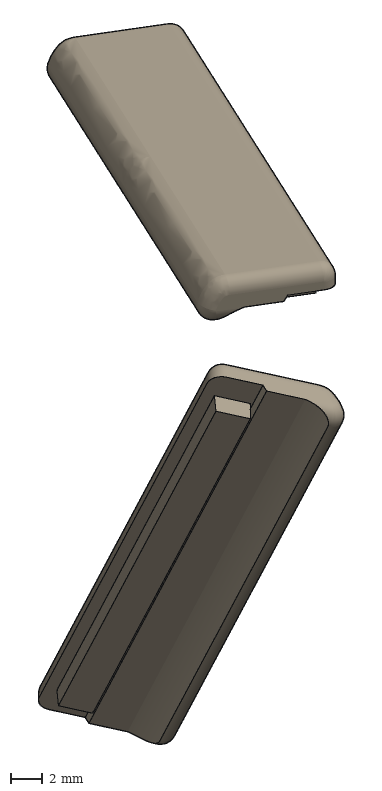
import cadquery as cq
import math

length = 35.0
depth = 9.17
height = 3.0

end_rounding = 0.98
corner_radius = 1.0

nose_join_angle = math.radians(16)
bend_start_y = 1.9
bend_middle = (0.55, 2.3)

rear_ledge_z = 1.45
main_underside_z = 1.0
step_top_y = 5.75
step_bottom_y = 5.5

hollow_start_y = 2.87
hollow_middle = (1.85, 0.6)
hollow_end_y = 1.05

rib_length = 31.0
rib_front_y = 5.9
rib_back_top_y = 8.33
rib_back_bottom_y = 8.22
rib_bottom_z = 0.18

clearance = 0.35


def point_on_circle(center, radius, angle):
    return (center[0] + radius * math.cos(angle), center[1] + radius * math.sin(angle))


def extrude_along_x(profile, size):
    """Extrude a closed YZ profile symmetrically about X = 0."""
    return profile.extrude(size / 2, both=True)


def make_shell():
    """Solid bar with a bent front lip and every outer edge rounded."""
    nose_center = (corner_radius, corner_radius)
    nose_join_direction = math.pi - nose_join_angle
    nose_join = point_on_circle(nose_center, corner_radius, nose_join_direction)
    nose_middle_direction = (nose_join_direction + 1.5 * math.pi) / 2
    nose_middle = point_on_circle(nose_center, corner_radius, nose_middle_direction)

    bend_start = (bend_start_y, height)
    bend_start_tangent = (-1, 0)
    nose_join_tangent = (-math.sin(nose_join_angle), -math.cos(nose_join_angle))

    back_center_y = depth - corner_radius
    back_top_center = (back_center_y, height - corner_radius)
    back_bottom_center = (back_center_y, corner_radius)
    profile = (
        cq.Workplane("YZ")
        .moveTo(*bend_start)
        .spline(
            [bend_middle, nose_join],
            tangents=[bend_start_tangent, nose_join_tangent],
            includeCurrent=True,
        )
        .threePointArc(nose_middle, (corner_radius, 0))
        .lineTo(back_center_y, 0)
        .threePointArc(
            point_on_circle(back_bottom_center, corner_radius, -math.pi / 4),
            (depth, corner_radius),
        )
        .lineTo(depth, height - corner_radius)
        .threePointArc(
            point_on_circle(back_top_center, corner_radius, math.pi / 4),
            (back_center_y, height),
        )
        .close()
    )
    return extrude_along_x(profile, length).faces("<X or >X").edges().fillet(end_rounding)


def make_underside_cutter():
    """Space below the rear ledge, the main underside and the nose hollow."""
    profile = (
        cq.Workplane("YZ")
        .moveTo(depth + clearance, rear_ledge_z)
        .lineTo(step_top_y, rear_ledge_z)
        .lineTo(step_bottom_y, main_underside_z)
        .lineTo(hollow_start_y, main_underside_z)
        .threePointArc(hollow_middle, (hollow_end_y, 0))
        .lineTo(hollow_end_y, -clearance)
        .lineTo(depth + clearance, -clearance)
        .close()
    )
    return extrude_along_x(profile, length + 2 * clearance)


def make_rib():
    """Rib under the rear ledge with a slightly tapered back."""
    profile = (
        cq.Workplane("YZ")
        .moveTo(rib_front_y, rib_bottom_z)
        .lineTo(rib_back_bottom_y, rib_bottom_z)
        .lineTo(rib_back_top_y, rear_ledge_z)
        .lineTo(rib_front_y, rear_ledge_z)
        .close()
    )
    return extrude_along_x(profile, rib_length)


result = make_shell().cut(make_underside_cutter()).union(make_rib())